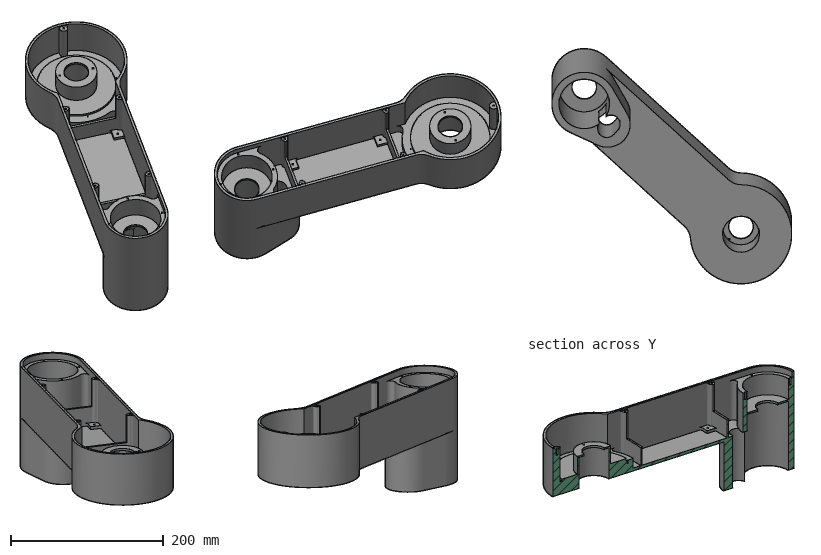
import cadquery as cq
import math

hub_radius = 66.5
arm_half_width = 42.5
axis_distance = 280.0
arm_height = 71.44
post_height = 71.44
wall = 3.5
floor_top = 5.0
neck_fillet_radius = 25.0

hub_inner_radius = hub_radius - wall
inner_half_width = arm_half_width - wall
corner_radius = 6.0

hub_floor_top = 19.0
hub_disc_radius = 52.0
hub_disc_top = 22.0
hub_boss_radius = 27.0
hub_boss_top = 48.0
shaft_hole_radius = 16.0
hub_boss_bore_radius = 24.0
plate_thickness = 3.0
screw_hole_diameter = 2.0
screw_hole_depth = 10.0
hub_screw_offset = 22.8
pin_hole_diameter = 1.0
pin_hole_depth = 5.0
pin_hole_offset = 54.3

shelf_radius = 40.0
shelf_top = arm_height - 8.7
motor_bore_radius = 33.0
motor_bore_floor = arm_height - 39.2
shelf_screw_offset = 36.3

post_toe_radius = 30.0
post_toe_x = 239.0

slot_x = 236.0
slot_width = 24.0
slot_length = 32.0

rib_top = 31.2
left_rib_x = 76.5
right_rib_x = 215.8
rib_thickness = 3.0
column_radius = 4.0
column_top = arm_height - 2.0
column_y = 36.5
rib_stub_y = 31.8
small_fillet_radius = 1.8
stub_fillet_radius = 0.8
hub_column_x = -59.5
hub_column_radius = 5.3
pad_size = 14.0
pad_top = 9.0
pad_hole_from_rib = 9.4
pad_hole_y = 32.0


def cylinder(x, y, radius, bottom, top):
    return cq.Workplane("XY", origin=(x, y, bottom)).circle(radius).extrude(top - bottom)


def box(x_min, x_max, y_min, y_max, bottom, top):
    return (
        cq.Workplane("XY", origin=((x_min + x_max) / 2, (y_min + y_max) / 2, bottom))
        .rect(x_max - x_min, y_max - y_min)
        .extrude(top - bottom)
    )


def screw_hole(x, y, top):
    return cylinder(x, y, screw_hole_diameter / 2, top - screw_hole_depth, top)


def arm_body():
    """Large hub blended into a straight arm that stops square at the small axis."""
    fillet_reach = hub_radius + neck_fillet_radius
    fillet_center_y = arm_half_width + neck_fillet_radius
    neck_x = math.sqrt(fillet_reach**2 - fillet_center_y**2)
    hub_tangent_x = neck_x * hub_radius / fillet_reach
    hub_tangent_y = fillet_center_y * hub_radius / fillet_reach
    to_hub = math.atan2(-fillet_center_y, -neck_x)
    middle_angle = (to_hub - math.pi / 2) / 2
    fillet_mid_x = neck_x + neck_fillet_radius * math.cos(middle_angle)
    fillet_mid_y = fillet_center_y + neck_fillet_radius * math.sin(middle_angle)
    return (
        cq.Workplane("XY")
        .moveTo(hub_tangent_x, hub_tangent_y)
        .threePointArc((-hub_radius, 0), (hub_tangent_x, -hub_tangent_y))
        .threePointArc((fillet_mid_x, -fillet_mid_y), (neck_x, -arm_half_width))
        .lineTo(axis_distance, -arm_half_width)
        .lineTo(axis_distance, arm_half_width)
        .lineTo(neck_x, arm_half_width)
        .threePointArc((fillet_mid_x, fillet_mid_y), (hub_tangent_x, hub_tangent_y))
        .close()
        .extrude(arm_height)
    )


def post_toe():
    """Toe of the post, running along the common tangents to the small end's cylinder."""
    lean = math.asin((arm_half_width - post_toe_radius) / (axis_distance - post_toe_x))
    heel_x = axis_distance - arm_half_width * math.sin(lean)
    heel_y = arm_half_width * math.cos(lean)
    toe_x = post_toe_x - post_toe_radius * math.sin(lean)
    toe_y = post_toe_radius * math.cos(lean)
    return (
        cq.Workplane("XY", origin=(0, 0, -post_height))
        .moveTo(heel_x, heel_y)
        .lineTo(heel_x, -heel_y)
        .lineTo(toe_x, -toe_y)
        .threePointArc((post_toe_x - post_toe_radius, 0), (toe_x, toe_y))
        .close()
        .extrude(post_height)
    )


def channel_cavity():
    """Deep pocket between the hub floor and the shelf, with rounded corners at the walls."""
    corner_y = inner_half_width - corner_radius
    hub_reach = hub_inner_radius + corner_radius
    shelf_reach = shelf_radius + corner_radius
    hub_corner_x = math.sqrt(hub_reach**2 - corner_y**2)
    shelf_corner_x = axis_distance - math.sqrt(shelf_reach**2 - corner_y**2)
    hub_scale = hub_inner_radius / hub_reach
    shelf_scale = shelf_radius / shelf_reach
    hub_end = (hub_corner_x * hub_scale, corner_y * hub_scale)
    shelf_end = (
        axis_distance - (axis_distance - shelf_corner_x) * shelf_scale,
        corner_y * shelf_scale,
    )
    return (
        cq.Workplane("XY", origin=(0, 0, floor_top))
        .moveTo(hub_corner_x, inner_half_width)
        .threePointArc((hub_corner_x - corner_radius, corner_y), hub_end)
        .threePointArc((hub_inner_radius, 0), (hub_end[0], -hub_end[1]))
        .threePointArc((hub_corner_x - corner_radius, -corner_y), (hub_corner_x, -inner_half_width))
        .lineTo(shelf_corner_x, -inner_half_width)
        .threePointArc((shelf_corner_x + corner_radius, -corner_y), (shelf_end[0], -shelf_end[1]))
        .threePointArc((axis_distance - shelf_radius, 0), shelf_end)
        .threePointArc((shelf_corner_x + corner_radius, corner_y), (shelf_corner_x, inner_half_width))
        .close()
        .extrude(arm_height - floor_top)
    )


def hollow_out(body):
    """Cut the hub recess, the channel and the space above the shelf."""
    hub_recess = cylinder(0, 0, hub_inner_radius, hub_floor_top, arm_height)
    hub_recess_to_arm = box(
        0, hub_inner_radius + corner_radius, -inner_half_width, inner_half_width, hub_floor_top, arm_height
    )
    above_shelf = box(
        right_rib_x, axis_distance, -inner_half_width, inner_half_width, shelf_top, arm_height
    ).union(cylinder(axis_distance, 0, inner_half_width, shelf_top, arm_height))
    body = body.cut(hub_recess).cut(hub_recess_to_arm)
    return body.cut(channel_cavity()).cut(above_shelf)


def add_hub_boss(body):
    """Floor disc and hollow boss, closed at the top by a plate with the shaft hole and two screws."""
    body = body.union(cylinder(0, 0, hub_disc_radius, floor_top, hub_disc_top))
    body = body.union(cylinder(0, 0, hub_boss_radius, floor_top, hub_boss_top))
    body = body.cut(cylinder(0, 0, shaft_hole_radius, 0, hub_boss_top))
    body = body.cut(cylinder(0, 0, hub_boss_bore_radius, 0, hub_boss_top - plate_thickness))
    for side in (-1, 1):
        body = body.cut(screw_hole(0, side * hub_screw_offset, hub_boss_top))
    return body


def cut_pin_holes(body):
    """Fine pin holes in the hub floor just outside the disc, on every quarter but the screw column's."""
    for x_step, y_step in ((1, 0), (0, 1), (0, -1)):
        body = body.cut(
            cylinder(
                x_step * pin_hole_offset,
                y_step * pin_hole_offset,
                pin_hole_diameter / 2,
                hub_floor_top - pin_hole_depth,
                hub_floor_top,
            )
        )
    return body


def cut_small_end(body):
    """Motor bore above and below a thin plate, the plate's shaft hole and the shelf screws."""
    plate_bottom = motor_bore_floor - plate_thickness
    body = body.cut(cylinder(axis_distance, 0, motor_bore_radius, motor_bore_floor, shelf_top))
    body = body.cut(cylinder(axis_distance, 0, shaft_hole_radius, -post_height, motor_bore_floor))
    body = body.cut(cylinder(axis_distance, 0, motor_bore_radius, -post_height, plate_bottom))
    for quarter in range(4):
        angle = quarter * math.pi / 2
        hole_x = axis_distance + shelf_screw_offset * math.cos(angle)
        hole_y = shelf_screw_offset * math.sin(angle)
        body = body.cut(screw_hole(hole_x, hole_y, shelf_top))
    return body


def cut_cable_slot(body):
    """Upright slot from the channel floor down through the post, running partly under the shelf."""
    slot = (
        cq.Workplane("XY", origin=(slot_x, 0, -post_height))
        .slot2D(slot_length, slot_width, 90)
        .extrude(post_height + floor_top)
    )
    return body.cut(slot)


def corner_fillet(x, y, x_side, y_side, bottom, top):
    """Web that rounds the inside corner at (x, y); the sides give the open quadrant's signs."""
    reach_x = x + x_side * small_fillet_radius
    reach_y = y + y_side * small_fillet_radius
    bend = small_fillet_radius * (1 - math.sqrt(0.5))
    return (
        cq.Workplane("XY", origin=(0, 0, bottom))
        .moveTo(x, y)
        .lineTo(reach_x, y)
        .threePointArc((x + x_side * bend, y + y_side * bend), (x, reach_y))
        .close()
        .extrude(top - bottom)
    )


def rib_column(x):
    """Cover screw column on the +Y wall, blended into the wall and into a full-height stub of the rib."""
    half_rib = rib_thickness / 2
    column = cylinder(x, column_y, column_radius, floor_top, column_top)
    column = column.union(
        box(x - half_rib, x + half_rib, rib_stub_y, column_y, floor_top, column_top)
    )
    stub_start_y = column_y - math.sqrt(column_radius**2 - half_rib**2)
    for x_side in (-1, 1):
        stub_corner = (x + x_side * half_rib, stub_start_y, (floor_top + column_top) / 2)
        column = column.edges(cq.selectors.NearestToPointSelector(stub_corner)).fillet(stub_fillet_radius)
    column = column.union(
        box(x - column_radius, x + column_radius, column_y, inner_half_width, floor_top, column_top)
    )
    for x_side in (-1, 1):
        column = column.union(
            corner_fillet(x + x_side * column_radius, inner_half_width, x_side, -1, floor_top, column_top)
        )
    return column


def mounting_pad(rib_x, inward):
    """Pad in the corner between the rib's inner face and the +Y wall, with a screw hole."""
    start = rib_x + inward * rib_thickness / 2
    end = start + inward * pad_size
    inner_y = inner_half_width - pad_size
    pad = box(min(start, end), max(start, end), inner_y, inner_half_width, floor_top, pad_top)
    pad = pad.union(corner_fillet(end, inner_half_width, inward, -1, floor_top, pad_top))
    pad = pad.union(corner_fillet(start, inner_y, inward, -1, floor_top, pad_top))
    hole_x = rib_x + inward * pad_hole_from_rib
    return pad.cut(cylinder(hole_x, pad_hole_y, screw_hole_diameter / 2, floor_top, pad_top))


def add_rib(body, x, inward):
    """Cross rib with a screw column at each wall and a mounting pad in each inner corner."""
    rib = box(
        x - rib_thickness / 2, x + rib_thickness / 2, -inner_half_width, inner_half_width, floor_top, rib_top
    )
    column = rib_column(x)
    pad = mounting_pad(x, inward)
    body = body.union(rib)
    for feature in (column, pad):
        body = body.union(feature).union(feature.mirror("XZ"))
    for side in (-1, 1):
        body = body.cut(screw_hole(x, side * column_y, column_top))
    return body


def add_hub_column(body):
    """Cover screw column inside the hub wall, opposite the arm."""
    column = cylinder(hub_column_x, 0, hub_column_radius, hub_floor_top, column_top).union(
        box(
            -hub_radius + wall / 2,
            hub_column_x,
            -hub_column_radius,
            hub_column_radius,
            hub_floor_top,
            column_top,
        )
    )
    return body.union(column).cut(screw_hole(hub_column_x, 0, column_top))


small_end = cylinder(axis_distance, 0, arm_half_width, -post_height, arm_height)
part = hollow_out(arm_body().union(small_end).union(post_toe()))
part = add_hub_boss(part)
part = cut_pin_holes(part)
part = cut_small_end(part)
part = cut_cable_slot(part)
part = add_rib(part, left_rib_x, 1)
part = add_rib(part, right_rib_x, -1)
part = add_hub_column(part)
result = part